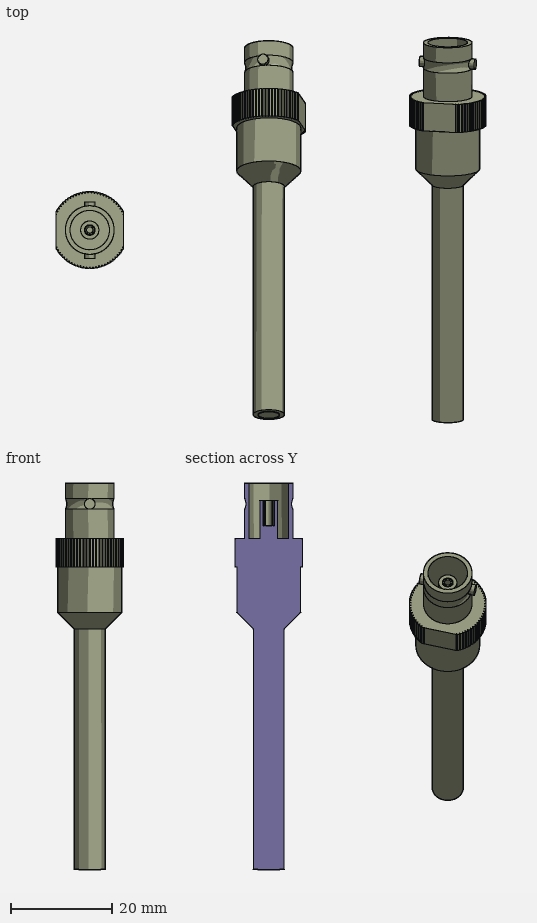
import cadquery as cq
import math

TOTAL_LENGTH = 76.58
CORE_STICKOUT = 0.13
SHELL_LENGTH = 10.92
NUT_LENGTH = 5.72
BODY_LENGTH = 9.0
CONE_LENGTH = 3.24

shell_top = TOTAL_LENGTH
nut_top = shell_top - SHELL_LENGTH
nut_bottom = nut_top - NUT_LENGTH
body_bottom = nut_bottom - BODY_LENGTH
cone_bottom = body_bottom - CONE_LENGTH

SHELL_DIAMETER = 9.65
BODY_DIAMETER = 12.7
CABLE_DIAMETER = 6.22
CORE_DIAMETER = 4.27

GROOVE_WIDTH = 2.1
GROOVE_DEPTH = 0.25
PIN_DIAMETER = 2.1
PIN_SPAN = 11.2
PIN_DROP = 4.1
pin_level = shell_top - PIN_DROP

NUT_DIAMETER = 15.24
NUT_FLATS = 13.46
KNURL_DEPTH = 0.3
KNURL_TEETH = 75
KNURL_GROOVE_WIDTH = 0.23

BORE_DIAMETER = 7.8
BORE_DEPTH = SHELL_LENGTH
INSULATOR_DIAMETER = 3.61
INSULATOR_DROP = 3.4
CONTACT_CLEARANCE_DIAMETER = 2.1
CONTACT_DIAMETER = 1.83
CONTACT_HOLE_DIAMETER = 1.27
CONTACT_DEPTH = 5.0
insulator_top = shell_top - INSULATOR_DROP


def cylinder(diameter, bottom, top):
    """Solid cylinder on the part's axis between two levels."""
    return cq.Workplane("XY").workplane(offset=bottom).circle(diameter / 2).extrude(top - bottom)


def turned_body():
    """Cable core, jacket, cone, body and grooved shell as one revolved profile."""
    shell_radius = SHELL_DIAMETER / 2
    body_radius = BODY_DIAMETER / 2
    cable_radius = CABLE_DIAMETER / 2
    core_radius = CORE_DIAMETER / 2
    groove_bottom = pin_level - GROOVE_WIDTH / 2
    groove_top = pin_level + GROOVE_WIDTH / 2
    return (
        cq.Workplane("XZ")
        .lineTo(core_radius, 0)
        .lineTo(core_radius, CORE_STICKOUT)
        .lineTo(cable_radius, CORE_STICKOUT)
        .lineTo(cable_radius, cone_bottom)
        .lineTo(body_radius, body_bottom)
        .lineTo(body_radius, nut_top)
        .lineTo(shell_radius, nut_top)
        .lineTo(shell_radius, groove_bottom)
        .threePointArc((shell_radius - GROOVE_DEPTH, pin_level), (shell_radius, groove_top))
        .lineTo(shell_radius, shell_top)
        .lineTo(0, shell_top)
        .close()
        .revolve(360, (0, 0, 0), (0, 1, 0))
    )


def knurled_nut():
    """Ring with V-shaped knurl grooves along the axis, cut by two flats facing -X and +X."""
    crest_radius = NUT_DIAMETER / 2
    root_radius = crest_radius - KNURL_DEPTH
    pitch_angle = 2 * math.pi / KNURL_TEETH
    half_land_angle = (pitch_angle - KNURL_GROOVE_WIDTH / crest_radius) / 2

    def rim_point(radius, angle):
        return radius * math.cos(angle), radius * math.sin(angle)

    base = cq.Workplane("XY").workplane(offset=nut_bottom)
    first_angle = math.pi / 2
    outline = base.moveTo(*rim_point(crest_radius, first_angle - half_land_angle))
    for tooth in range(KNURL_TEETH):
        land_angle = first_angle + tooth * pitch_angle
        groove_angle = land_angle + pitch_angle / 2
        next_land_start = land_angle + pitch_angle - half_land_angle
        outline = outline.threePointArc(
            rim_point(crest_radius, land_angle),
            rim_point(crest_radius, land_angle + half_land_angle),
        )
        outline = outline.lineTo(*rim_point(root_radius, groove_angle))
        if tooth < KNURL_TEETH - 1:
            outline = outline.lineTo(*rim_point(crest_radius, next_land_start))
    teeth = outline.close().extrude(NUT_LENGTH)
    between_flats = base.rect(NUT_FLATS, NUT_DIAMETER).extrude(NUT_LENGTH)
    return teeth.intersect(between_flats)


def bayonet_pins():
    """Cross bar, opened up later by the bore, whose ends are the two pins on the -Y and +Y sides."""
    return (
        cq.Workplane("XZ", origin=(0, 0, pin_level))
        .circle(PIN_DIAMETER / 2)
        .extrude(PIN_SPAN / 2, both=True)
    )


def insulator_post():
    """Post standing in the bore, recessed around a hollow centre contact."""
    bore_floor = shell_top - BORE_DEPTH
    contact_floor = insulator_top - CONTACT_DEPTH
    post = cylinder(INSULATOR_DIAMETER, bore_floor, insulator_top)
    clearance = cylinder(CONTACT_CLEARANCE_DIAMETER, contact_floor, insulator_top)
    contact = cylinder(CONTACT_DIAMETER, contact_floor, insulator_top)
    contact_hole = cylinder(CONTACT_HOLE_DIAMETER, contact_floor, insulator_top)
    return post.cut(clearance).union(contact).cut(contact_hole)


bore = cylinder(BORE_DIAMETER, shell_top - BORE_DEPTH, shell_top)
outside = turned_body().union(knurled_nut()).union(bayonet_pins())
result = outside.cut(bore).union(insulator_post())